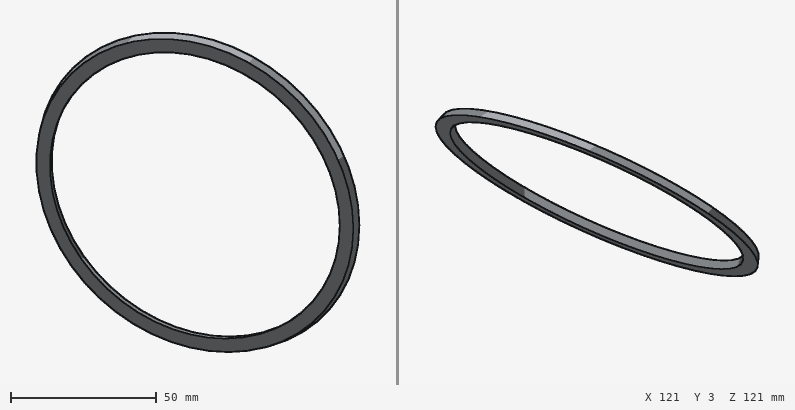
import cadquery as cq

back_diameter = 121.0
front_diameter = 119.1
front_bore_diameter = 108.8
back_bore_diameter = 110.0
thickness = 3.0

back_radius = back_diameter / 2
front_radius = front_diameter / 2
front_bore_radius = front_bore_diameter / 2
back_bore_radius = back_bore_diameter / 2
front_y = -thickness / 2
back_y = thickness / 2

result = (
    cq.Workplane("XY")
    .moveTo(front_bore_radius, front_y)
    .lineTo(front_radius, front_y)
    .lineTo(back_radius, back_y)
    .lineTo(back_bore_radius, back_y)
    .close()
    .revolve(360, (0, 0, 0), (0, 1, 0))
)